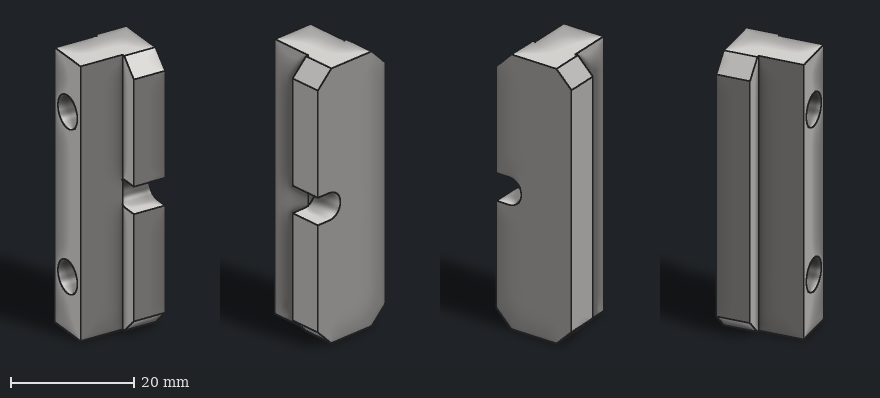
import cadquery as cq

length = 50.0
flange_width = 15.0
total_depth = 14.0

flange_depth = 6.0
rib_width = 8.0
rib_depth = total_depth - flange_depth
corner_chamfer = 3.0

hole_diameter = 6.0
hole_spacing = 30.0
hole_depth = 12.0

notch_height = 5.0
notch_radius = notch_height / 2
notch_center_x = 5.0


def make_flange():
    """Wide plate at the back, with its four corners chamfered."""
    plate = cq.Workplane("XY").box(flange_width, flange_depth, length)
    plate = plate.edges("|Y").chamfer(corner_chamfer)
    return plate.translate((0, total_depth / 2 - flange_depth / 2, 0))


def make_rib():
    """Narrow full-length rib in front of the flange."""
    rib = cq.Workplane("XY").box(rib_width, rib_depth, length)
    return rib.translate((0, rib_depth / 2 - total_depth / 2, 0))


def make_holes():
    """Two flat-bottomed holes entering from the rib face."""
    face = cq.Workplane("XZ", origin=(0, -total_depth / 2, 0))
    centers = [(0, -hole_spacing / 2), (0, hole_spacing / 2)]
    return face.pushPoints(centers).circle(hole_diameter / 2).extrude(-hole_depth)


def make_notch():
    """Slot open to +X with a half-round inner end, through the flange only."""
    back = cq.Workplane("XZ", origin=(0, total_depth / 2, 0))
    outline = (
        back.moveTo(flange_width / 2, notch_radius)
        .lineTo(notch_center_x, notch_radius)
        .threePointArc((notch_center_x - notch_radius, 0), (notch_center_x, -notch_radius))
        .lineTo(flange_width / 2, -notch_radius)
        .close()
    )
    return outline.extrude(flange_depth)


result = make_flange().union(make_rib()).cut(make_holes()).cut(make_notch())